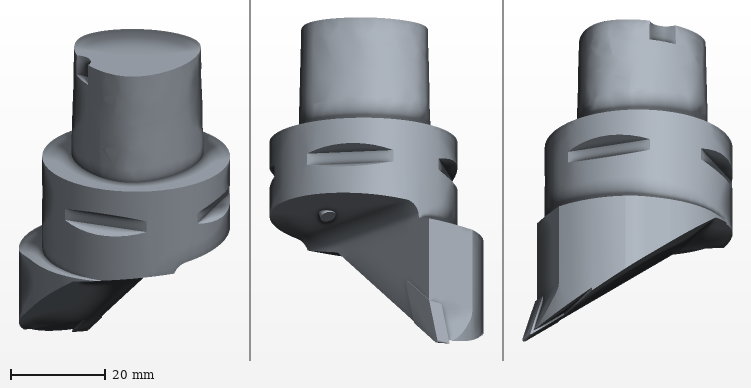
import cadquery as cq
import math


flange_diameter = 39.95
flange_radius = flange_diameter / 2
shoulder_z = -20.95
shoulder_angle = 15.0

taper_height = 24.05
taper_base_radius = 14.05
taper_top_radius = 13.5
lobe_height = 0.8
outline_points = 48
key_radius = 3.55
key_depth = 4.45
key_axis_y = -14.35

slot_count = 4
slot_z = -8.1
slot_floor_distance = 17.7
slot_floor_height = 2.45
slot_wall_angle = 30.0

shank_back_y = -22.5
flat_start_x = -8.7
flat_end_x = -2.7
blend_radius = 10.0
left_radius = 22.5
right_radius = 21.8
blend_span = 4.0

shank_left_x = -23.7
shank_tip_x = -26.0
shank_tip_z = -48.7
lead_fillet_radius = 8.5
step_x = -18.8
knee_x = 9.55
knee_z = -22.1
rim_right_z = -19.45

rake_face_y = -0.1
shelf_z = -17.7
shelf_angle = 5.0
shelf_fillet_radius = 3.3

nozzle_diameter = 3.3
nozzle_length = 8.9
nozzle_tilt = 25.0
nozzle_x = 0.0
nozzle_y = 9.25
nozzle_tip_z = -17.8

insert_side = 11.1
insert_point_angle = 35.0
insert_edge_angle = 37.5
insert_nose_radius = 0.4
insert_thickness = 3.4
insert_relief_angle = 5.0
insert_face_y = 0.15
insert_min_x = -27.0
insert_min_z = -49.95

lead_angle = insert_edge_angle + insert_point_angle
margin = 7.4


def tan(degrees):
    return math.tan(math.radians(degrees))


def polar(length, degrees):
    angle = math.radians(degrees)
    return length * math.cos(angle), length * math.sin(angle)


def lobed_wire(radius, z):
    """Closed constant-width outline with three lobes, one of them toward +Y."""
    points = []
    for i in range(outline_points):
        t = 2 * math.pi * i / outline_points
        support = radius + lobe_height * math.cos(3 * t)
        slope = -3 * lobe_height * math.sin(3 * t)
        along = support * math.cos(t)
        across = slope * math.sin(t)
        y = along - across
        x = support * math.sin(t) + slope * math.cos(t)
        points.append(cq.Vector(x, y, z))
    return cq.Wire.assembleEdges([cq.Edge.makeSpline(points, periodic=True)])


def make_coupling():
    base = lobed_wire(taper_base_radius, 0)
    top = lobed_wire(taper_top_radius, taper_height)
    taper = cq.Workplane(cq.Solid.makeLoft([base, top], True))
    key = (cq.Workplane("XY", origin=(0, key_axis_y, taper_height - key_depth))
           .circle(key_radius).extrude(key_depth + margin))
    return taper.cut(key)


def make_slot_cutter(angle):
    reach = margin
    half_floor = slot_floor_height / 2
    half_mouth = half_floor + reach * tan(slot_wall_angle)
    mouth = slot_floor_distance + reach
    return (cq.Workplane("XZ", origin=(0, flange_radius, slot_z))
            .moveTo(slot_floor_distance, -half_floor)
            .lineTo(mouth, -half_mouth)
            .lineTo(mouth, half_mouth)
            .lineTo(slot_floor_distance, half_floor)
            .close()
            .extrude(flange_diameter)
            .rotate((0, 0, 0), (0, 0, 1), angle))


def make_flange():
    flange = cq.Workplane("XY").circle(flange_radius).extrude(shoulder_z)
    for i in range(slot_count):
        flange = flange.cut(make_slot_cutter((i + 0.5) * 360 / slot_count))
    return flange


def make_shank():
    """Vertical prism with a rounded back, closed by the conical shoulder on top."""
    blend_angle = math.degrees(math.asin(blend_span / blend_radius))
    blend_center = (flat_start_x, shank_back_y + blend_radius)

    def on_blend(angle):
        dx, dy = polar(blend_radius, angle)
        return blend_center[0] + dx, blend_center[1] + dy

    blend_end = on_blend(270 - blend_angle)
    dx, dy = polar(left_radius - blend_radius, 90 - blend_angle)
    left_center = (blend_center[0] + dx, blend_center[1] + dy)
    left_rise = rake_face_y - left_center[1]
    left_end_angle = 180 - math.degrees(math.asin(left_rise / left_radius))

    def on_left(angle):
        dx, dy = polar(left_radius, angle)
        return left_center[0] + dx, left_center[1] + dy

    right_center_y = shank_back_y + right_radius
    right_rise = rake_face_y - right_center_y
    right_end_angle = math.degrees(math.asin(right_rise / right_radius))

    def on_right(angle):
        dx, dy = polar(right_radius, angle)
        return flat_end_x + dx, right_center_y + dy

    left_mid_angle = (left_end_angle + 270 - blend_angle) / 2
    prism = (cq.Workplane("XY", origin=(0, 0, insert_min_z))
             .moveTo(*on_left(left_end_angle))
             .threePointArc(on_left(left_mid_angle), blend_end)
             .threePointArc(on_blend(270 - blend_angle / 2), (flat_start_x, shank_back_y))
             .lineTo(flat_end_x, shank_back_y)
             .threePointArc(on_right((right_end_angle - 90) / 2), on_right(right_end_angle))
             .close()
             .extrude(shoulder_z - insert_min_z))
    rim = flange_radius + margin * 2
    shoulder = (cq.Workplane("XZ")
                .moveTo(0, insert_min_z)
                .lineTo(rim, insert_min_z)
                .lineTo(rim, shoulder_z - (rim - flange_radius) * tan(shoulder_angle))
                .lineTo(flange_radius, shoulder_z)
                .lineTo(0, shoulder_z)
                .close()
                .revolve(360, (0, 0, 0), (0, 1, 0)))
    return prism.intersect(shoulder)


def make_side_envelope():
    """Bounds the holder in XZ: lead flank, stepped lower slope and flange relief."""
    lead_corner_z = shank_tip_z + (shank_left_x - shank_tip_x) * tan(lead_angle)
    fillet_tangent = lead_fillet_radius * tan((90 - lead_angle) / 2)
    dx, dz = polar(fillet_tangent, lead_angle)
    step_upper_z = shank_tip_z + (step_x - shank_tip_x) * tan(insert_edge_angle)
    step_lower_z = knee_z - (knee_x - step_x) * tan(insert_edge_angle)
    relief_slope = (rim_right_z - knee_z) / (flange_radius - knee_x)
    right_x = flange_radius + margin
    depth = 2 * (flange_radius + margin)
    return (cq.Workplane("XZ", origin=(0, depth / 2, 0))
            .moveTo(shank_left_x, taper_height)
            .lineTo(shank_left_x, lead_corner_z + fillet_tangent)
            .tangentArcPoint((shank_left_x - dx, lead_corner_z - dz), relative=False)
            .lineTo(shank_tip_x, shank_tip_z)
            .lineTo(step_x, step_upper_z)
            .lineTo(step_x, step_lower_z)
            .lineTo(knee_x, knee_z)
            .lineTo(right_x, rim_right_z + margin * relief_slope)
            .lineTo(right_x, taper_height)
            .close()
            .extrude(depth))


def make_open_side():
    """Space in front of the rake face, under the sloping shelf."""
    far_y = flange_radius + margin
    length = 2 * (flange_radius + margin)
    return (cq.Workplane("YZ", origin=(-length / 2, 0, 0))
            .moveTo(rake_face_y, insert_min_z - margin)
            .lineTo(rake_face_y, shelf_z)
            .lineTo(far_y, shelf_z + (far_y - rake_face_y) * tan(shelf_angle))
            .lineTo(far_y, insert_min_z - margin)
            .close()
            .extrude(length)
            .edges(cq.selectors.NearestToPointSelector((0, rake_face_y, shelf_z)))
            .fillet(shelf_fillet_radius))


def make_nozzle():
    """Short cylinder leaning toward -X, rooted inside the flange."""
    return (cq.Workplane("XY")
            .circle(nozzle_diameter / 2)
            .extrude(nozzle_length)
            .rotate((0, 0, 0), (0, 1, 0), nozzle_tilt)
            .translate((nozzle_x, nozzle_y, nozzle_tip_z)))


def make_insert():
    half_angle = insert_point_angle / 2
    nose_offset = insert_nose_radius / math.sin(math.radians(half_angle))
    dx, dz = polar(nose_offset, insert_edge_angle + half_angle)
    sharp_x = insert_min_x + insert_nose_radius - dx
    sharp_z = insert_min_z + insert_nose_radius - dz
    lower = polar(insert_side, insert_edge_angle)
    lead = polar(insert_side, lead_angle)
    far_corner = (lower[0] + lead[0], lower[1] + lead[1])
    outline = (cq.Sketch()
               .polygon([(0, 0), lower, far_corner, lead, (0, 0)])
               .vertices()
               .fillet(insert_nose_radius))
    return (cq.Workplane("XZ", origin=(sharp_x, insert_face_y, sharp_z))
            .placeSketch(outline)
            .extrude(insert_thickness, taper=insert_relief_angle))


def make_holder(insert):
    body = make_flange().union(make_shank())
    body = body.intersect(make_side_envelope()).cut(make_open_side())
    return body.union(make_coupling()).union(make_nozzle()).cut(insert)


insert = make_insert()
holder = make_holder(insert)
result = cq.Compound.makeCompound([holder.solids().val(), insert.solids().val()])